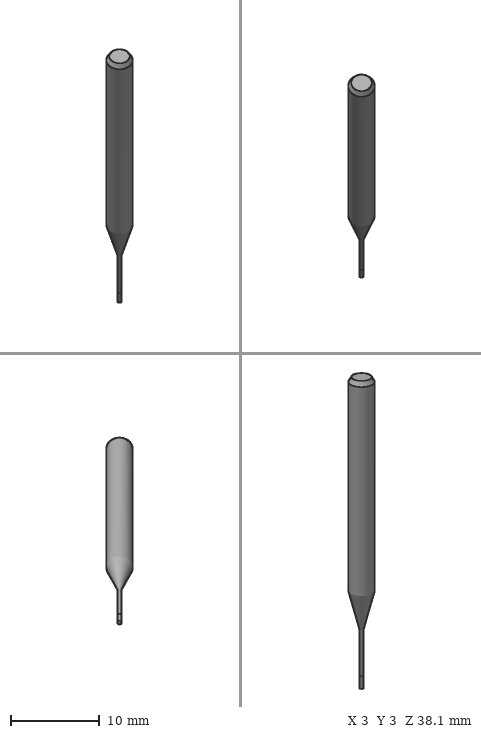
import cadquery as cq

overall_length = 38.12

shank_diameter = 3.0
shank_start = 12.0
end_chamfer_length = 0.6
end_chamfer_depth = 0.35

neck_diameter = 0.5
neck_end = 7.3

head_diameter = neck_diameter
head_length = 1.65
point_length = 0.12


def make_head():
    """Cutting head: a short cylinder ending in a conical point."""
    radius = head_diameter / 2
    profile = [
        (0, 0),
        (radius, point_length),
        (radius, head_length),
        (0, head_length),
    ]
    return cq.Workplane("XZ").polyline(profile).close().revolve(360, (0, 0), (0, 1))


def make_shank():
    """Shank with its thin neck, the cone that joins them and the chamfered rear end."""
    neck_radius = neck_diameter / 2
    shank_radius = shank_diameter / 2
    profile = [
        (0, head_length),
        (neck_radius, head_length),
        (neck_radius, neck_end),
        (shank_radius, shank_start),
        (shank_radius, overall_length - end_chamfer_length),
        (shank_radius - end_chamfer_depth, overall_length),
        (0, overall_length),
    ]
    return cq.Workplane("XZ").polyline(profile).close().revolve(360, (0, 0), (0, 1))


head = make_head()
shank = make_shank()

result = cq.Compound.makeCompound([head.val(), shank.val()])